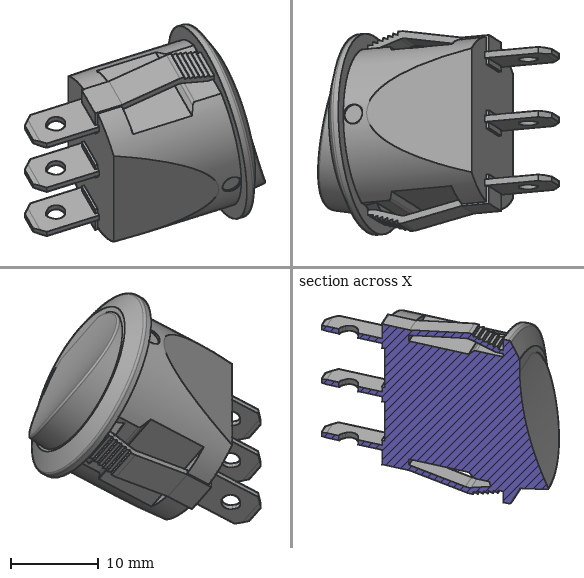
import cadquery as cq
import math


clearance = 0.28
pick_margin = 0.03

bezel_radius = 11.5
bezel_front_radius = 9.17
bezel_rim_depth = 0.88
bezel_depth = 2.05
bezel_edge_fillet = 0.35

body_radius = 9.86
body_length = 14.42
body_overlap = 0.28
end_half_width = 6.65
slope_start = 2.82

land_height = 9.0
recess_height = 8.32
land_length = 3.5
recess_start = 4.17
recess_end = 11.45
land_fillet = 0.55

pivot_diameter = 2.25
pivot_distance = 1.2
pivot_floor = 9.55

rocker_radius = 8.65
rocker_tilt = 12.0
rocker_centre = 2.9
rocker_depth = 6.35
dish_radius = 39.5
rocker_edge_fillet = 0.25

clip_width = 3.92
plate_thickness = 0.33
clip_top = 9.9
clip_arm_bottom = 9.05
clip_bend = 11.38
clip_peak = 4.25
clip_peak_height = 11.27
clip_tip_bottom = 9.37
clip_tip_length = 0.85
inner_peak = 4.25
inner_peak_height = 10.45
inner_peak_fillet = 1.38
tooth_count = 6
tooth_pitch = 0.6
tooth_start = 0.55
tooth_base = 9.95
tooth_rise = 0.188
tooth_height = 0.4
tooth_lean = 0.08
clip_plate_bottom = 6.47
middle_plate_height = 2.1

terminal_spacing = 7.5
terminal_width = 4.78
terminal_thickness = 0.75
terminal_end = 22.1
terminal_corner = 1.2
terminal_bevel_length = 0.6
terminal_bevel_depth = 0.08
hole_distance = 18.73
hole_radius = 1.05
hole_tip_radius = 0.64
hole_length_to_tip = 1.22


def block(width, y_min, y_max, z_min, z_max):
    """Box centred on X, between the given Y and Z limits."""
    size_y = y_max - y_min
    size_z = z_max - z_min
    centre = (0, (y_min + y_max) / 2, (z_min + z_max) / 2)
    return cq.Workplane("XY").box(width, size_y, size_z).translate(centre)


def extrude_side_profile(profile, width):
    """Extrude a closed YZ profile equally to both sides of X = 0."""
    return profile.close().extrude(width / 2, both=True)


def both_ends(shape):
    """The shape together with its mirror image below Z = 0."""
    return shape.union(shape.mirror("XY"))


def make_bezel():
    profile = (
        cq.Workplane("XY")
        .lineTo(bezel_radius, 0)
        .lineTo(bezel_radius, bezel_rim_depth)
        .lineTo(bezel_front_radius, bezel_depth)
        .lineTo(0, bezel_depth)
        .close()
    )
    bezel = profile.revolve(360, (0, 0, 0), (0, 1, 0))
    rim_edge = cq.selectors.BoxSelector(
        (-bezel_radius, bezel_rim_depth - pick_margin, -bezel_radius),
        (bezel_radius, bezel_rim_depth + pick_margin, bezel_radius),
    )
    return bezel.edges(rim_edge).fillet(bezel_edge_fillet)


def make_body():
    body = cq.Workplane("XZ", origin=(0, body_overlap, 0)).circle(body_radius)
    body = body.extrude(body_length + body_overlap)
    outline = (
        cq.Workplane("XY")
        .moveTo(-body_radius, body_overlap)
        .lineTo(body_radius, body_overlap)
        .lineTo(body_radius, -slope_start)
        .lineTo(end_half_width, -body_length)
        .lineTo(-end_half_width, -body_length)
        .lineTo(-body_radius, -slope_start)
        .close()
        .extrude(body_radius, both=True)
    )
    body = body.intersect(outline)
    body = body.cut(both_ends(make_clip_recess()))
    for side in (1, -1):
        pocket = (
            cq.Workplane("YZ", origin=(side * pivot_floor, -pivot_distance, 0))
            .circle(pivot_diameter / 2)
            .extrude(side * (body_radius - pivot_floor + clearance))
        )
        body = body.cut(pocket)
    return body


def make_clip_recess():
    outside = body_radius + clearance
    profile = (
        cq.Workplane("YZ")
        .moveTo(body_overlap, land_height)
        .lineTo(-land_length, land_height)
        .lineTo(-recess_start, recess_height)
        .lineTo(-recess_end, recess_height)
        .lineTo(-recess_end, outside)
        .lineTo(body_overlap, outside)
    )
    recess = extrude_side_profile(profile, 2 * body_radius)
    land_edge = cq.selectors.NearestToPointSelector((0, -land_length, land_height))
    return recess.edges(land_edge).fillet(land_fillet)


def make_rocker():
    dish_half_angle = math.asin(rocker_radius / dish_radius)
    dish_sag = dish_radius * (1 - math.cos(dish_half_angle))
    button = cq.Workplane("XZ", origin=(0, dish_sag + clearance, 0)).circle(rocker_radius)
    button = button.extrude(dish_sag + clearance + rocker_depth)
    dish = (
        cq.Workplane("YZ", origin=(-bezel_radius, dish_radius, 0))
        .circle(dish_radius)
        .extrude(2 * bezel_radius)
    )
    button = button.cut(dish)
    button = button.faces(">Y").edges().fillet(rocker_edge_fillet)
    button = button.rotate((0, 0, 0), (1, 0, 0), rocker_tilt)
    return button.translate((0, rocker_centre, 0))


def make_clip():
    profile = cq.Workplane("YZ").moveTo(body_overlap, tooth_base)
    for i in range(tooth_count):
        valley_y = -tooth_start - i * tooth_pitch
        valley_z = tooth_base + i * tooth_rise
        profile = profile.lineTo(valley_y, valley_z)
        profile = profile.lineTo(valley_y - tooth_lean, valley_z + tooth_height)
    profile = (
        profile.lineTo(-clip_peak, clip_peak_height)
        .lineTo(-clip_bend, clip_top)
        .lineTo(-body_length - plate_thickness, clip_top)
        .lineTo(-body_length - plate_thickness, clip_plate_bottom)
        .lineTo(-body_length, clip_plate_bottom)
        .lineTo(-body_length, clip_arm_bottom)
        .lineTo(-recess_end, clip_arm_bottom)
        .lineTo(-inner_peak, inner_peak_height)
        .lineTo(-clip_tip_length, clip_tip_bottom)
        .lineTo(body_overlap, clip_tip_bottom)
    )
    clip = extrude_side_profile(profile, clip_width)
    inner_edge = cq.selectors.BoxSelector(
        (-clip_width, -inner_peak - pick_margin, inner_peak_height - pick_margin),
        (clip_width, -inner_peak + pick_margin, inner_peak_height + pick_margin),
    )
    return clip.edges(inner_edge).fillet(inner_peak_fillet)


def make_terminal_hole():
    """Round hole with a rounded point toward the terminal tip."""
    tip_offset = hole_length_to_tip - hole_tip_radius
    tangent = math.acos((hole_radius - hole_tip_radius) / tip_offset)
    side_x = math.sin(tangent)
    side_y = math.cos(tangent)
    tip_x = hole_tip_radius * side_x
    tip_y = -tip_offset - hole_tip_radius * side_y
    return (
        cq.Workplane("XY", origin=(0, -hole_distance, 0))
        .moveTo(-hole_radius * side_x, -hole_radius * side_y)
        .threePointArc((0, hole_radius), (hole_radius * side_x, -hole_radius * side_y))
        .lineTo(tip_x, tip_y)
        .threePointArc((0, -hole_length_to_tip), (-tip_x, tip_y))
        .close()
        .extrude(terminal_thickness, both=True)
    )


def make_terminal():
    half_thickness = terminal_thickness / 2
    tip_half_thickness = half_thickness - terminal_bevel_depth
    bevel_start = terminal_end - terminal_bevel_length
    blade = extrude_side_profile(
        cq.Workplane("YZ")
        .moveTo(-body_length + body_overlap, half_thickness)
        .lineTo(-bevel_start, half_thickness)
        .lineTo(-terminal_end, tip_half_thickness)
        .lineTo(-terminal_end, -tip_half_thickness)
        .lineTo(-bevel_start, -half_thickness)
        .lineTo(-body_length + body_overlap, -half_thickness),
        terminal_width,
    )
    half_width = terminal_width / 2
    corner = (
        cq.Workplane("XY")
        .moveTo(half_width, -terminal_end)
        .lineTo(half_width, -terminal_end + terminal_corner)
        .lineTo(half_width - terminal_corner, -terminal_end)
        .close()
        .extrude(terminal_thickness, both=True)
    )
    return blade.cut(corner).cut(corner.mirror("YZ")).cut(make_terminal_hole())


middle_plate = block(
    clip_width,
    -body_length - plate_thickness,
    -body_length,
    -middle_plate_height / 2,
    middle_plate_height / 2,
)

result = make_body().union(make_bezel()).union(make_rocker())
result = result.union(both_ends(make_clip())).union(middle_plate)
for position in (-1, 0, 1):
    result = result.union(make_terminal().translate((0, 0, position * terminal_spacing)))